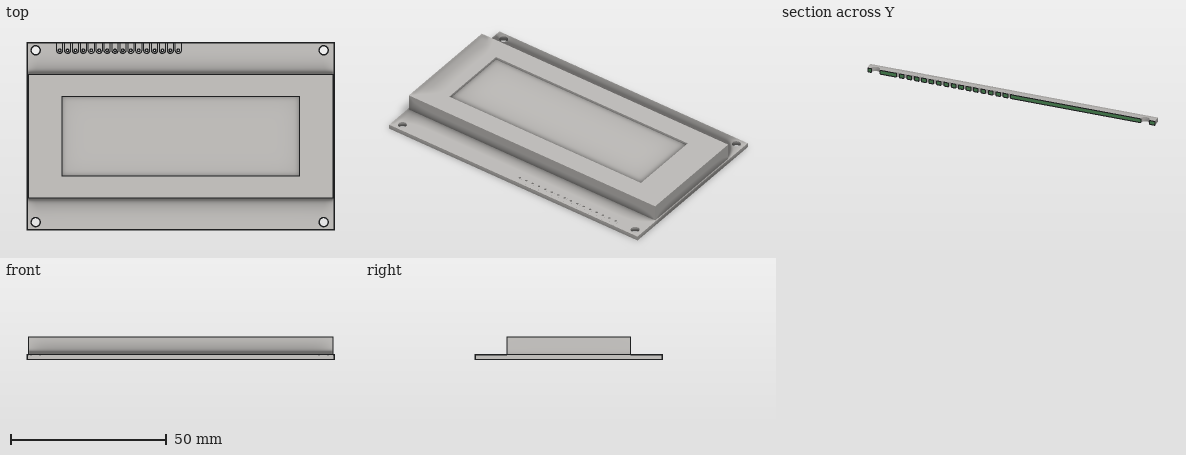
import cadquery as cq

board_length = 98.8
board_width = 60.2
board_thickness = 1.6

mount_hole_diameter = 2.9
mount_hole_left_inset = 2.8
mount_hole_right_inset = 3.5
mount_hole_side_inset = 2.5

total_height = 7.3
bezel_length = 98.0
bezel_width = 39.8
bezel_height = total_height - board_thickness

window_length = 76.3
window_width = 25.5
window_depth = 1.0

pad_count = 16
pad_row_length = 38.1
pad_pitch = pad_row_length / (pad_count - 1)
pad_width = 2.0
pad_thickness = 0.035
pad_hole_diameter = 0.8
pad_hole_inset = 2.5
first_pad_inset = 10.5


def make_board():
    """Flat board centred on the origin, with a hole near each corner."""
    left_x = mount_hole_left_inset - board_length / 2
    right_x = board_length / 2 - mount_hole_right_inset
    hole_y = board_width / 2 - mount_hole_side_inset
    hole_centers = [(x, y) for x in (left_x, right_x) for y in (-hole_y, hole_y)]
    return (
        cq.Workplane("XY")
        .box(board_length, board_width, board_thickness, centered=(True, True, False))
        .faces(">Z")
        .workplane()
        .pushPoints(hole_centers)
        .hole(mount_hole_diameter)
    )


def make_bezel():
    """Raised display frame with a shallow rectangular window."""
    return (
        cq.Workplane("XY")
        .workplane(offset=board_thickness)
        .box(bezel_length, bezel_width, bezel_height, centered=(True, True, False))
        .faces(">Z")
        .workplane()
        .rect(window_length, window_width)
        .cutBlind(-window_depth)
    )


def make_pad(x):
    """Thin pad reaching the board edge, with a rounded inner end around its hole."""
    edge_y = board_width / 2
    hole_y = edge_y - pad_hole_inset
    radius = pad_width / 2
    return (
        cq.Workplane("XY")
        .workplane(offset=board_thickness)
        .moveTo(x - radius, edge_y)
        .lineTo(x - radius, hole_y)
        .threePointArc((x, hole_y - radius), (x + radius, hole_y))
        .lineTo(x + radius, edge_y)
        .close()
        .extrude(pad_thickness)
    )


def make_pad_holes(pad_positions):
    """Cylinders that pierce every pad and the board beneath it."""
    hole_y = board_width / 2 - pad_hole_inset
    return (
        cq.Workplane("XY")
        .pushPoints([(x, hole_y) for x in pad_positions])
        .circle(pad_hole_diameter / 2)
        .extrude(board_thickness + pad_thickness)
    )


first_pad_x = first_pad_inset - board_length / 2
pad_positions = [first_pad_x + i * pad_pitch for i in range(pad_count)]

result = make_board().union(make_bezel())
for pad_x in pad_positions:
    result = result.union(make_pad(pad_x))
result = result.cut(make_pad_holes(pad_positions))